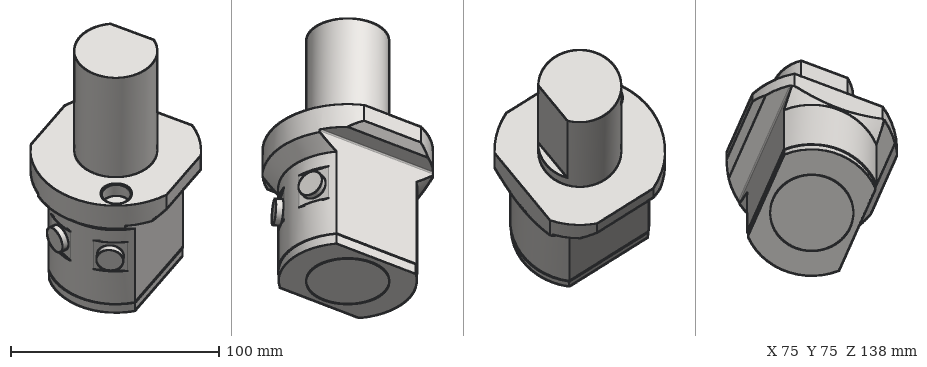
import cadquery as cq
import math


SHANK_DIAMETER = 40.0
SHANK_LENGTH = 63.0
SHANK_FLAT_Y = 16.0
SHANK_FLAT_START_Z = 7.3

FLANGE_RADIUS = 41.0
FLANGE_HALF_WIDTH = 37.5
FLANGE_BACK_Y = 34.0
FLANGE_SIDE_THICKNESS = 13.0
FLANGE_CHAMFER = 4.0
ROOT_FILLET = 0.7

BODY_RADIUS = 33.5
BODY_HALF_WIDTH = 24.0
CONE_END_Z = -22.0
CONE_START_Z = CONE_END_Z + FLANGE_RADIUS - BODY_RADIUS
CAP_TOP_Z = -69.0
CAP_BOTTOM_Z = -74.6
CAP_INSET = 0.3
END_DISC_DIAMETER = 39.99
TOTAL_DEPTH = 75.0

BORE_DIAMETER = 14.01
BORE_DEPTH = 7.5
BORE_CHAMFER = 0.5
BORE_PITCH_RADIUS = 32.0
BORE_ANGLE = -60.0

PIN_DIAMETER = 13.0
PIN_TILT = 25.0
PIN_Z = -39.0
PIN_FACE_DISTANCE = 36.0
PIN_FLAT_DISTANCE = 32.5
PIN_FLAT_HEIGHT = 18.3


def block(x_half, y_min, y_max, z_min, z_max):
    """Box centred on X, spanning the given Y and Z ranges."""
    return (
        cq.Workplane("XY")
        .box(2 * x_half, y_max - y_min, z_max - z_min, centered=(True, False, False))
        .translate((0, y_min, z_min))
    )


def cylinder(radius, z_min, z_max):
    return cq.Workplane("XY").workplane(offset=z_min).circle(radius).extrude(z_max - z_min)


def make_shank():
    shank = cylinder(SHANK_DIAMETER / 2, 0, SHANK_LENGTH)
    flat_cut = block(
        SHANK_DIAMETER / 2, SHANK_FLAT_Y, SHANK_DIAMETER / 2, SHANK_FLAT_START_Z, SHANK_LENGTH
    )
    return shank.cut(flat_cut)


def make_flange_and_body():
    """Revolved flange, cone and body, cut to a stepped profile across X and a flat at the back."""
    turned = (
        cq.Workplane("XZ")
        .polyline(
            [
                (0, 0),
                (FLANGE_RADIUS, 0),
                (FLANGE_RADIUS, CONE_START_Z),
                (BODY_RADIUS, CONE_END_Z),
                (BODY_RADIUS, CAP_TOP_Z),
                (0, CAP_TOP_Z),
            ]
        )
        .close()
        .revolve(360, (0, 0, 0), (0, 1, 0))
    )
    half_section = (
        cq.Workplane("XZ", origin=(0, FLANGE_BACK_Y, 0))
        .moveTo(0, 0)
        .lineTo(FLANGE_HALF_WIDTH, 0)
        .lineTo(FLANGE_HALF_WIDTH, FLANGE_CHAMFER - FLANGE_SIDE_THICKNESS)
        .lineTo(FLANGE_HALF_WIDTH - FLANGE_CHAMFER, -FLANGE_SIDE_THICKNESS)
        .lineTo(BODY_HALF_WIDTH + ROOT_FILLET, -FLANGE_SIDE_THICKNESS)
        .radiusArc((BODY_HALF_WIDTH, -FLANGE_SIDE_THICKNESS - ROOT_FILLET), -ROOT_FILLET)
        .lineTo(BODY_HALF_WIDTH, CAP_TOP_Z)
        .lineTo(0, CAP_TOP_Z)
        .close()
        .extrude(FLANGE_BACK_Y + FLANGE_RADIUS)
    )
    section = half_section.union(half_section.mirror("YZ"))
    return turned.intersect(section)


def make_end_cap():
    """Slightly inset plate on the lower end, with a thin round disc below it."""
    cap_radius = BODY_RADIUS - CAP_INSET
    cap = cylinder(cap_radius, CAP_BOTTOM_Z, CAP_TOP_Z).intersect(
        block(BODY_HALF_WIDTH - CAP_INSET, -cap_radius, cap_radius, CAP_BOTTOM_Z, CAP_TOP_Z)
    )
    return cap.union(cylinder(END_DISC_DIAMETER / 2, -TOTAL_DEPTH, CAP_BOTTOM_Z))


def make_bore():
    angle = math.radians(BORE_ANGLE)
    radius = BORE_DIAMETER / 2
    bore = cylinder(radius, -BORE_DEPTH, 0)
    countersink = cq.Workplane("XY").add(
        cq.Solid.makeCone(radius, radius + BORE_CHAMFER, BORE_CHAMFER)
    ).translate((0, 0, -BORE_CHAMFER))
    return bore.union(countersink).translate(
        (BORE_PITCH_RADIUS * math.cos(angle), BORE_PITCH_RADIUS * math.sin(angle), 0)
    )


def make_pin_flat(tilt):
    """Cutter for the flat around one pin, facing -Y before it is turned about Z."""
    cutter = block(
        BODY_RADIUS / 2,
        -PIN_FACE_DISTANCE,
        -PIN_FLAT_DISTANCE,
        PIN_Z - PIN_FLAT_HEIGHT / 2,
        PIN_Z + PIN_FLAT_HEIGHT / 2,
    )
    return cutter.rotate((0, 0, 0), (0, 0, 1), tilt)


def make_pin(tilt):
    """Pin standing on its flat; it starts inside the body so that the two join."""
    pin = (
        cq.Workplane("XZ", origin=(0, -BODY_RADIUS / 2, PIN_Z))
        .circle(PIN_DIAMETER / 2)
        .extrude(PIN_FACE_DISTANCE - BODY_RADIUS / 2)
    )
    return pin.rotate((0, 0, 0), (0, 0, 1), tilt)


result = make_flange_and_body().union(make_shank()).union(make_end_cap()).cut(make_bore())
for pin_tilt in (-PIN_TILT, PIN_TILT):
    result = result.cut(make_pin_flat(pin_tilt)).union(make_pin(pin_tilt))